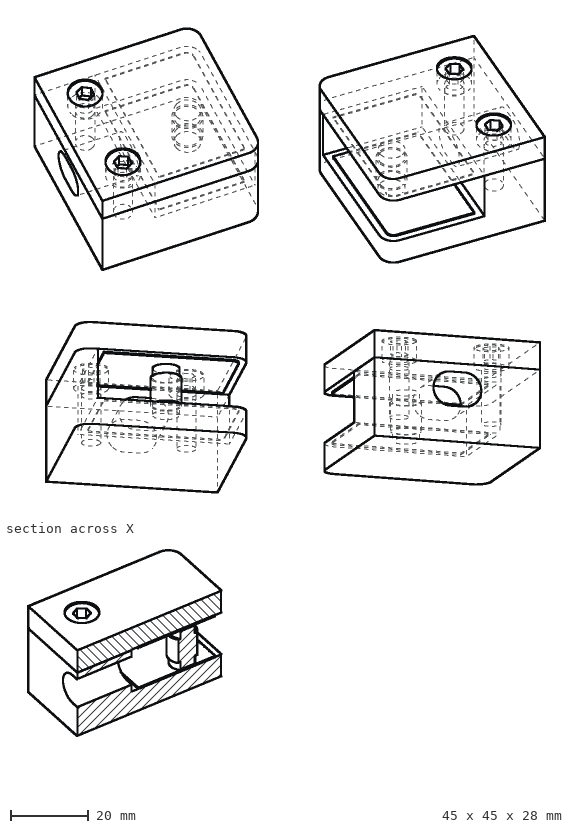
import cadquery as cq
import math

WIDTH = 45.0
DEPTH = 45.0
PLATE_THICKNESS = 7.25
GAP_HEIGHT = 13.5
CORNER_RADIUS = 4.0

COVER_BOTTOM = PLATE_THICKNESS + GAP_HEIGHT
COVER_TOP = COVER_BOTTOM + PLATE_THICKNESS
MID_HEIGHT = PLATE_THICKNESS + GAP_HEIGHT / 2

FRONT_WALL = 17.0
SIDE_WALL = 5.3
GAP_WIDTH = WIDTH - SIDE_WALL
GAP_DEPTH = DEPTH - FRONT_WALL
GAP_CENTER_X = -SIDE_WALL / 2
GAP_CENTER_Y = FRONT_WALL / 2

SLOT_LENGTH = 13.0
SLOT_HEIGHT = 9.0

PAD_MARGIN = 2.0
PAD_THICKNESS = 0.35
PAD_WIDTH = GAP_WIDTH - 2 * PAD_MARGIN
PAD_DEPTH = GAP_DEPTH - 2 * PAD_MARGIN
PAD_CORNER_RADIUS = CORNER_RADIUS - PAD_MARGIN

PIN_Y = 11.95
PIN_DIAMETER = 6.98
PIN_COLLAR_DIAMETER = 8.0
PIN_COLLAR_HEIGHT = 7.6
PIN_LENGTH = GAP_HEIGHT - 2 * PAD_THICKNESS

SCREW_INSET = 10.0
SCREW_X = WIDTH / 2 - SCREW_INSET
SCREW_Y = SCREW_INSET - DEPTH / 2
HEAD_DIAMETER = 9.0
HEAD_HEIGHT = 5.0
HEAD_RECESS = 0.22
HEAD_ROUND = 0.45
SHANK_DIAMETER = 5.0
SHANK_LENGTH = 15.0
SOCKET_ACROSS_FLATS = 4.0
SOCKET_DEPTH = 3.38
SOCKET_TWIST = 2.0

HEAD_TOP = COVER_TOP - HEAD_RECESS
HEAD_BOTTOM = HEAD_TOP - HEAD_HEIGHT
SHANK_BOTTOM = HEAD_BOTTOM - SHANK_LENGTH


def cylinder(x, y, bottom, height, diameter):
    """Upright cylinder standing at height `bottom`."""
    return cq.Workplane("XY", origin=(x, y, bottom)).circle(diameter / 2).extrude(height)


def rounded_block(bottom, height):
    """Full-size block with its two rear vertical edges rounded."""
    block = cq.Workplane("XY", origin=(0, 0, bottom)).rect(WIDTH, DEPTH).extrude(height)
    return block.edges("|Z and >Y").fillet(CORNER_RADIUS)


def screw_holes():
    """Counterbored holes that both screws sit in."""
    holes = cq.Workplane("XY")
    for x in (-SCREW_X, SCREW_X):
        holes = holes.add(cylinder(x, SCREW_Y, HEAD_BOTTOM, COVER_TOP - HEAD_BOTTOM, HEAD_DIAMETER))
        holes = holes.add(cylinder(x, SCREW_Y, SHANK_BOTTOM, SHANK_LENGTH, SHANK_DIAMETER))
    return holes.combine()


def make_base():
    """Lower plate with the front and side walls that carry the cover."""
    base = rounded_block(0, COVER_BOTTOM)
    gap = (
        cq.Workplane("XY", origin=(GAP_CENTER_X, GAP_CENTER_Y, PLATE_THICKNESS))
        .rect(GAP_WIDTH, GAP_DEPTH)
        .extrude(GAP_HEIGHT)
    )
    slot = (
        cq.Workplane("XZ", origin=(0, -DEPTH / 2, MID_HEIGHT))
        .slot2D(SLOT_LENGTH, SLOT_HEIGHT)
        .extrude(-FRONT_WALL)
    )
    return base.cut(gap).cut(slot).cut(screw_holes())


def make_cover():
    """Upper plate, counterbored for the screws."""
    return rounded_block(COVER_BOTTOM, PLATE_THICKNESS).cut(screw_holes())


def make_pad(bottom):
    """Thin pad whose outer corner follows the rounded corner of the plates."""
    pad = (
        cq.Workplane("XY", origin=(GAP_CENTER_X, GAP_CENTER_Y, bottom))
        .rect(PAD_WIDTH, PAD_DEPTH)
        .extrude(PAD_THICKNESS)
    )
    return pad.edges("|Z and >Y and <X").fillet(PAD_CORNER_RADIUS)


def make_pin():
    """Pin with a wider collar at mid height, centred across the gap."""
    stem = cylinder(GAP_CENTER_X, PIN_Y, MID_HEIGHT - PIN_LENGTH / 2, PIN_LENGTH, PIN_DIAMETER)
    collar_bottom = MID_HEIGHT - PIN_COLLAR_HEIGHT / 2
    collar = cylinder(GAP_CENTER_X, PIN_Y, collar_bottom, PIN_COLLAR_HEIGHT, PIN_COLLAR_DIAMETER)
    return stem.union(collar)


def make_screw(x, twist):
    """Socket head screw with a rounded head rim and a hexagonal socket."""
    head = cylinder(x, SCREW_Y, HEAD_BOTTOM, HEAD_HEIGHT, HEAD_DIAMETER)
    head = head.faces(">Z").edges().fillet(HEAD_ROUND)
    shank = cylinder(x, SCREW_Y, SHANK_BOTTOM, SHANK_LENGTH, SHANK_DIAMETER)
    across_corners = SOCKET_ACROSS_FLATS / math.cos(math.radians(30))
    socket = (
        cq.Workplane("XY", origin=(x, SCREW_Y, HEAD_TOP))
        .transformed(rotate=(0, 0, twist))
        .polygon(6, across_corners)
        .extrude(-SOCKET_DEPTH)
    )
    return head.union(shank).cut(socket)


base = make_base()
cover = make_cover()
pin = make_pin()
pads = [make_pad(bottom) for bottom in (PLATE_THICKNESS, COVER_BOTTOM - PAD_THICKNESS)]
screws = [make_screw(side * SCREW_X, side * SOCKET_TWIST) for side in (-1, 1)]

result = cq.Compound.makeCompound(
    [base.val(), cover.val(), pin.val()]
    + [pad.val() for pad in pads]
    + [screw.val() for screw in screws]
)